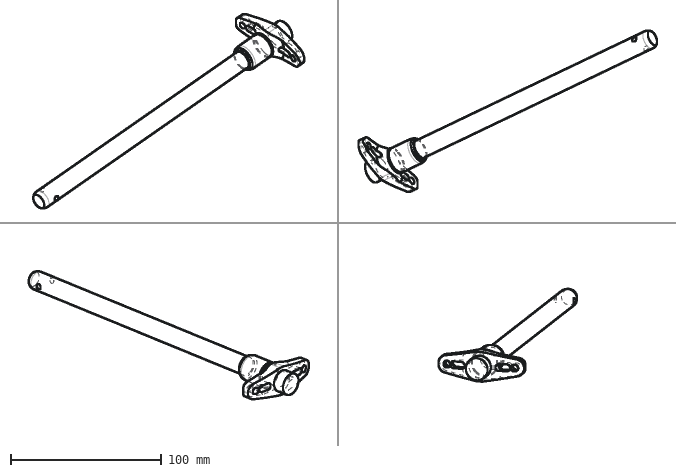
import cadquery as cq

total_length = 235.2

shank_radius = 6.4
tip_radius = 5.2
tip_height = 3.3
tip_bulge_radius = 6.0
tip_bulge_y = 1.6

ball_radius = 1.9
ball_reach = 7.5
ball_y = 10.3

sleeve_radius = 9.0
sleeve_start_y = 194.7
sleeve_nose_radius = 7.5
sleeve_nose_height = 1.5
sleeve_shoulder_radius = 8.5
sleeve_shoulder_height = 3.5
groove_y = 214.5
groove_width = 0.7
groove_depth = 0.5

flare_start_radius = 9.2
flare_radius = 5.2
flare_start_y = groove_y + groove_width
flare_end_y = flare_start_y + flare_radius
flare_top_y = 223.5

handle_length = 59.0
handle_width = 20.2
handle_end_width = 9.9
handle_flat = 3.5
handle_corner_radius = 5.6
handle_crown_y = 227.2
handle_end_top_y = 224.0
handle_end_bottom_y = 218.7
handle_underside_y = 220.9
edge_round = 1.2

hole_diameter = 4.7
hole_x = 23.3
slot_length = 9.9
slot_width = 4.7
slot_x = 15.5

button_radius = 7.5


def revolve_about_y(profile):
    return profile.close().revolve(360, (0, 0, 0), (0, 1, 0))


def handle_prism():
    """Tapered handle outline in XZ, extruded over the full length of the part."""
    half_length = handle_length / 2
    half_width = handle_width / 2
    half_end = handle_end_width / 2
    half_flat = handle_flat / 2
    outline = [
        (half_flat, half_width),
        (half_length, half_end),
        (half_length, -half_end),
        (half_flat, -half_width),
        (-half_flat, -half_width),
        (-half_length, -half_end),
        (-half_length, half_end),
        (-half_flat, half_width),
    ]
    prism = cq.Workplane("XZ").polyline(outline).close().extrude(-total_length)
    ends = prism.edges("|Y and (>X or <X)")
    return ends.fillet(handle_corner_radius)


def make_arch():
    """Arched wings as a plain bar, not yet tapered."""
    half_length = handle_length / 2
    arch = (
        cq.Workplane("XY")
        .moveTo(-half_length, handle_end_bottom_y)
        .lineTo(-half_length, handle_end_top_y)
        .threePointArc((0, handle_crown_y), (half_length, handle_end_top_y))
        .lineTo(half_length, handle_end_bottom_y)
        .threePointArc((0, handle_underside_y), (-half_length, handle_end_bottom_y))
        .close()
        .extrude(handle_width / 2, both=True)
    )
    lower_end_edges = arch.faces("<X or >X").edges("<Y")
    return lower_end_edges.fillet(edge_round)


def make_flare():
    """Concave collar under the handle."""
    outer_radius = flare_start_radius + flare_radius
    arc_offset = flare_radius * 0.5 ** 0.5
    profile = (
        cq.Workplane("XY")
        .moveTo(0, flare_start_y)
        .lineTo(flare_start_radius, flare_start_y)
        .threePointArc(
            (outer_radius - arc_offset, flare_start_y + arc_offset),
            (outer_radius, flare_end_y),
        )
        .lineTo(outer_radius, flare_top_y)
        .lineTo(0, flare_top_y)
    )
    return revolve_about_y(profile)


def make_sleeve():
    groove_radius = sleeve_radius - groove_depth
    shoulder_y = sleeve_start_y + sleeve_shoulder_height
    profile = (
        cq.Workplane("XY")
        .moveTo(0, sleeve_start_y)
        .lineTo(sleeve_nose_radius, sleeve_start_y)
        .lineTo(sleeve_shoulder_radius, sleeve_start_y + sleeve_nose_height)
        .lineTo(sleeve_radius, shoulder_y)
        .lineTo(sleeve_radius, groove_y)
        .lineTo(groove_radius, groove_y)
        .lineTo(groove_radius, flare_start_y)
        .lineTo(0, flare_start_y)
    )
    return revolve_about_y(profile)


def make_shank():
    profile = (
        cq.Workplane("XY")
        .lineTo(tip_radius, 0)
        .threePointArc((tip_bulge_radius, tip_bulge_y), (shank_radius, tip_height))
        .lineTo(shank_radius, sleeve_start_y)
        .lineTo(0, sleeve_start_y)
    )
    return revolve_about_y(profile)


def make_balls():
    ball_x = ball_reach - ball_radius
    return cq.Workplane("XY").pushPoints([(-ball_x, ball_y), (ball_x, ball_y)]).sphere(ball_radius)


def make_button():
    """Cylinder from the handle's underside to the rear end."""
    base = cq.Workplane("XZ", origin=(0, handle_underside_y, 0))
    return base.circle(button_radius).extrude(handle_underside_y - total_length)


def make_wing_openings():
    base = cq.Workplane("XZ", origin=(0, flare_start_y, 0))
    depth = total_length - flare_start_y
    holes = base.pushPoints([(-hole_x, 0), (hole_x, 0)]).circle(hole_diameter / 2).extrude(-depth)
    slots = base.pushPoints([(-slot_x, 0), (slot_x, 0)]).slot2D(slot_length, slot_width).extrude(-depth)
    return holes.union(slots)


handle = make_arch().union(make_flare()).intersect(handle_prism()).cut(make_wing_openings())
result = (
    make_shank()
    .union(make_balls(), clean=False)
    .union(make_sleeve(), clean=False)
    .union(handle, clean=False)
    .union(make_button(), clean=False)
)